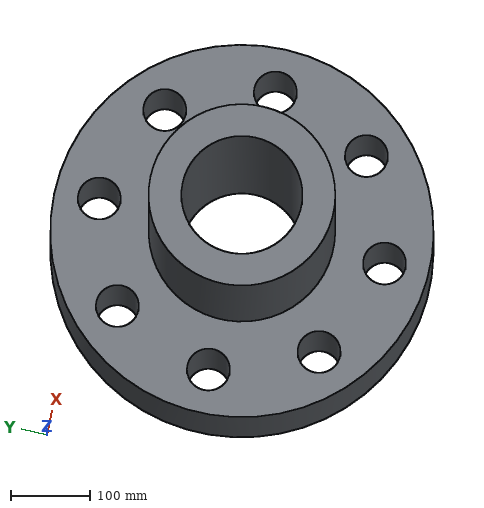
import cadquery as cq

flange_diameter = 482.5
overall_height = 305.0
raised_face_height = 6.5
flange_thickness = 107.5
hub_height = overall_height - raised_face_height - flange_thickness

hub_diameter = 235.0
raised_face_diameter = 217.0
bore_diameter = 152.5

bolt_count = 8
bolt_circle_diameter = 368.5
bolt_hole_diameter = 54.0


def disc(diameter, height, base_z):
    """Solid cylinder on the Z axis, standing on base_z."""
    return cq.Workplane("XY", origin=(0, 0, base_z)).circle(diameter / 2).extrude(height)


raised_face = disc(raised_face_diameter, raised_face_height, 0)
flange = disc(flange_diameter, flange_thickness, raised_face_height)
hub = disc(hub_diameter, hub_height, raised_face_height + flange_thickness)
body = raised_face.union(flange).union(hub)

bore = disc(bore_diameter, overall_height, 0)

bolt_holes = (
    cq.Workplane("XY", origin=(0, 0, raised_face_height))
    .polarArray(bolt_circle_diameter / 2, 0, 360, bolt_count)
    .circle(bolt_hole_diameter / 2)
    .extrude(flange_thickness)
)

result = body.cut(bore).cut(bolt_holes)